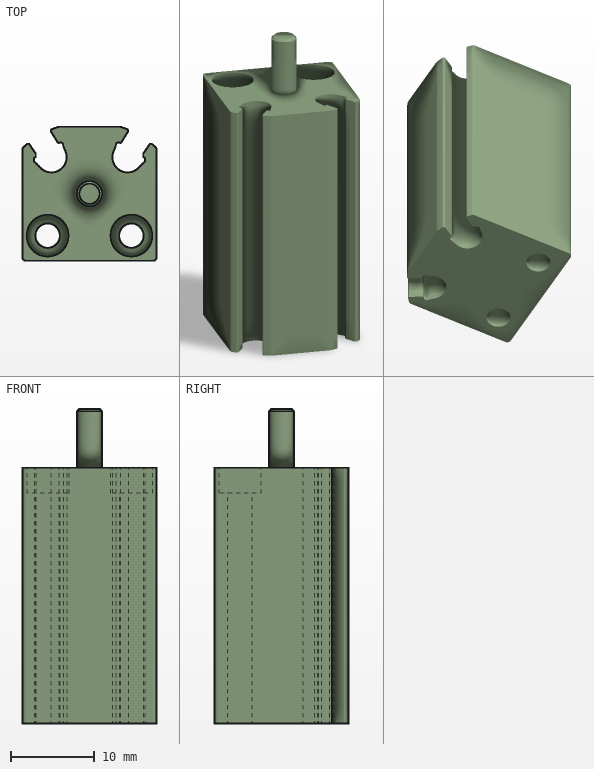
import cadquery as cq
import math

total_height = 37.5
body_width = 16.0
half_width = body_width / 2
pin_length = 7.0
body_height = total_height - pin_length
corner_radius = 0.5
shoulder_radius = 1.12

pin_diameter = 3.0
pin_tip_chamfer = 0.3

hole_diameter = 2.9
counterbore_diameter = 5.0
counterbore_depth = 3.0
hole_offset = 5.0

slot_x = 4.55
slot_y = 4.35
slot_radius = 1.8
floor_angle = math.radians(315)
inner_tangent_angle = math.radians(160)
slot_floor_length = 1.12
rib_tip_radius = 0.22
arm_tip_radius = 0.2

shoulder = (3.65, half_width)
rib_tip = (4.72, 7.6)
arm_tip = (7.28, 6.08)
arm_shoulder = (half_width, 5.45)

inner_lip_top = (3.82, 6.15)
inner_lip_bottom = (3.68, 6.0)
inner_groove_crown = (3.35, 6.08)
inner_groove_end = (3.15, 5.7)
outer_lip_top = (6.38, 4.75)
outer_lip_bottom = (6.38, 4.4)
outer_groove_top = (6.6, 4.25)


def slot_point(angle):
    """Point on the round part of the +X slot."""
    return (
        slot_x + slot_radius * math.cos(angle),
        slot_y + slot_radius * math.sin(angle),
    )


def slot_cutter():
    """Everything removed from the square at its +X, +Y corner."""
    floor_start = slot_point(floor_angle)
    floor_slope = floor_angle + math.pi / 2
    floor_end = (
        floor_start[0] + slot_floor_length * math.cos(floor_slope),
        floor_start[1] + slot_floor_length * math.sin(floor_slope),
    )
    outline = (
        cq.Workplane("XY")
        .moveTo(*shoulder)
        .lineTo(*rib_tip)
        .lineTo(*inner_lip_top)
        .lineTo(*inner_lip_bottom)
        .threePointArc(inner_groove_crown, inner_groove_end)
        .lineTo(*slot_point(inner_tangent_angle))
        .threePointArc(slot_point((inner_tangent_angle + floor_angle) / 2), floor_start)
        .lineTo(*floor_end)
        .lineTo(*outer_groove_top)
        .lineTo(*outer_lip_bottom)
        .lineTo(*outer_lip_top)
        .lineTo(*arm_tip)
        .lineTo(*arm_shoulder)
        .lineTo(half_width, half_width)
        .close()
    )
    return outline.extrude(body_height)


def round_corners(body, corner, radius):
    """Round the upright edges at a corner and at its mirror image."""
    for side in (-1, 1):
        edge_middle = (side * corner[0], corner[1], body_height / 2)
        body = body.edges(cq.selectors.NearestToPointSelector(edge_middle)).fillet(radius)
    return body


def make_housing():
    body = cq.Workplane("XY").rect(body_width, body_width).extrude(body_height)
    cutter = slot_cutter()
    body = body.cut(cutter).cut(cutter.mirror("YZ"))

    bottom_corner = (half_width, -half_width)
    for corner in (bottom_corner, arm_shoulder):
        body = round_corners(body, corner, corner_radius)
    body = round_corners(body, shoulder, shoulder_radius)
    body = round_corners(body, rib_tip, rib_tip_radius)
    body = round_corners(body, arm_tip, arm_tip_radius)

    return (
        body.faces(">Z")
        .workplane(origin=(0, 0, body_height))
        .pushPoints([(-hole_offset, -hole_offset), (hole_offset, -hole_offset)])
        .cboreHole(hole_diameter, counterbore_diameter, counterbore_depth)
    )


def make_pin():
    """Round pin standing on the housing's top face, chamfered at its free end."""
    return (
        cq.Workplane("XY", origin=(0, 0, body_height))
        .circle(pin_diameter / 2)
        .extrude(pin_length)
        .faces(">Z")
        .chamfer(pin_tip_chamfer)
    )


housing = make_housing()
pin = make_pin()
result = cq.Compound.makeCompound([housing.val(), pin.val()])